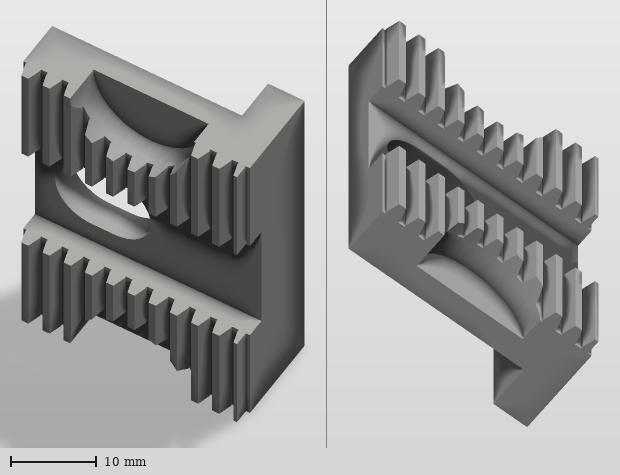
import cadquery as cq

width = 31.0
depth = 14.1
height = 44.0

wall_thickness = 5.0
wall_rise = 5.75

tooth_pitch = 2.9
tooth_count = 11
tooth_height = 2.0
tooth_root_width = 2.0
tooth_tip_width = 0.95
tooth_straight_height = 0.3
edge_margin = 0.45

groove_width = 16.0
groove_depth = 4.55

pocket_radius = 7.88
pocket_depth = 5.2

slot_length = 13.05
slot_width = 9.95
slot_center_x = -6.2

left = -width / 2
right = width / 2
tip_y = -depth / 2
back_y = depth / 2
root_y = tip_y + tooth_height
plate_back_y = back_y - wall_rise
first_tooth_x = left + edge_margin + tooth_root_width / 2


def extrude_along_height(points):
    """Close an XY outline and extrude it over the full height."""
    outline = cq.Workplane("XY").workplane(offset=-height / 2).polyline(points).close()
    return outline.extrude(height)


def make_base():
    """L-shaped body: the plate with the wall along its +X edge."""
    wall_x = right - wall_thickness
    return extrude_along_height([
        (left, root_y),
        (right, root_y),
        (right, back_y),
        (wall_x, back_y),
        (wall_x, plate_back_y),
        (left, plate_back_y),
    ])


def make_tooth(center_x, half=False):
    """Tapered tooth on a short straight foot; a half tooth keeps only its -X side."""
    shoulder_y = root_y - tooth_straight_height
    left_side = [
        (center_x - tooth_root_width / 2, plate_back_y),
        (center_x - tooth_root_width / 2, shoulder_y),
        (center_x - tooth_tip_width / 2, tip_y),
    ]
    if half:
        right_side = [(center_x, tip_y), (center_x, plate_back_y)]
    else:
        right_side = [(2 * center_x - x, y) for x, y in reversed(left_side)]
    return extrude_along_height(left_side + right_side)


def make_groove():
    """Straight channel along X through the middle of the teeth."""
    return cq.Workplane("XY").box(width, groove_depth, groove_width).translate(
        (0, tip_y + groove_depth / 2, 0)
    )


def make_pocket(end_z):
    """Round pocket centered on one Z end, so half of it lies in the part."""
    front = cq.Workplane("XZ", origin=(0, tip_y, end_z))
    return front.circle(pocket_radius).extrude(-pocket_depth)


def make_slot():
    """Round-ended slot along X, through the full depth."""
    front = cq.Workplane("XZ", origin=(slot_center_x, tip_y, 0))
    return front.slot2D(slot_length, slot_width).extrude(-depth)


result = make_base()
for index in range(tooth_count):
    is_last = index == tooth_count - 1
    result = result.union(make_tooth(first_tooth_x + index * tooth_pitch, half=is_last))

result = result.cut(make_groove())
for end_z in (-height / 2, height / 2):
    result = result.cut(make_pocket(end_z))
result = result.cut(make_slot())